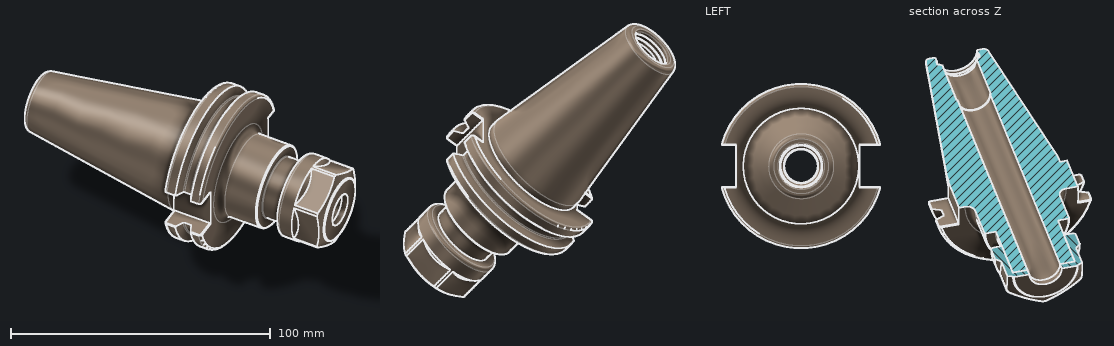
import cadquery as cq
import math

total_length = 131.8
shank_bore_radius = 12.8 / 2
collar_radius = 34.0 / 2

taper_ratio = 7 / 24
taper_end_radius = 25.0 / 2
taper_end_round = 2.0
gauge_x = 68.4

flange_radius = 63.4 / 2
flange_start_x = 71.3
flange_end_x = 87.2
flange_edge_round = 1.0
groove_mid_x = 79.5
groove_floor_radius = 28.0
groove_floor_width = 3.3
groove_mouth_width = 6.7
groove_floor_round = 0.5
keyway_width = 16.1
keyway_edge_break = 0.33
selection_margin = 0.1
front_keyway_floor = 22.5
rear_keyway_floor = 25.0

collar_end_x = 104.3
collar_fillet = 3.2
collar_chamfer = 0.4
nose_root_round = 0.3
nose_radius = 25.0 / 2

socket_mouth_round = 0.8
pilot_radius = 16.3 / 2
pilot_end_x = 2.4
relief_radius = 16.9 / 2
relief_end_x = 4.2
seat_radius = 15.7 / 2
long_bore_radius = 13.5 / 2
long_bore_end_x = 26.4

nut_start_x = 112.8
nut_round = 1.3
hex_start_x = 119.6
hex_sides = 6
hex_across_flats = 30.0
hex_shoulder_bevel = 2.0
nut_bevel_length = 2.1
nut_bevel_end_radius = 26.0 / 2
nut_face_chamfer = 0.4
nut_lip = 2.6

nose_end_x = total_length - nut_lip


def revolve_about_x(outline):
    """Turn a closed (x, radius) outline into a solid around the X axis."""
    return outline.close().revolve(360, (0, 0, 0), (1, 0, 0))


def x_cylinder(radius, start_x, end_x):
    return cq.Workplane("YZ").workplane(offset=start_x).circle(radius).extrude(end_x - start_x)


def make_shank():
    round_end_x = taper_end_round * (1 - math.sin(math.atan(taper_ratio / 2)))
    gauge_radius = taper_end_radius + (gauge_x - round_end_x) * taper_ratio / 2
    outline = (
        cq.Workplane("XY")
        .moveTo(0, 0)
        .lineTo(0, taper_end_radius - taper_end_round)
        .radiusArc((round_end_x, taper_end_radius), taper_end_round)
        .lineTo(gauge_x, gauge_radius)
        .lineTo(flange_start_x, gauge_radius)
        .lineTo(flange_start_x, 0)
    )
    return revolve_about_x(outline)


def make_groove():
    """Ring-shaped V groove around the flange, with rounded floor corners."""
    outline = (
        cq.Workplane("XY")
        .moveTo(groove_mid_x - groove_mouth_width / 2, flange_radius)
        .lineTo(groove_mid_x - groove_floor_width / 2, groove_floor_radius)
        .lineTo(groove_mid_x + groove_floor_width / 2, groove_floor_radius)
        .lineTo(groove_mid_x + groove_mouth_width / 2, flange_radius)
    )
    return revolve_about_x(outline).edges(cq.selectors.RadiusNthSelector(0)).fillet(groove_floor_round)


def cut_keyway(flange, floor_y, side):
    """Slot through the flange, open on the +Y (side = 1) or -Y (side = -1) side, with broken edges."""
    depth = flange_radius - floor_y
    length = flange_end_x - flange_start_x
    mid_x = (flange_start_x + flange_end_x) / 2
    mid_y = side * (floor_y + depth / 2)
    slot = cq.Workplane("XY").box(length, depth, keyway_width).translate((mid_x, mid_y, 0))
    wall_edges = cq.selectors.BoxSelector(
        (flange_start_x - selection_margin, side * (floor_y + selection_margin), -keyway_width),
        (flange_end_x + selection_margin, side * flange_radius, keyway_width),
    )
    return flange.cut(slot).edges(wall_edges).chamfer(keyway_edge_break)


def make_flange():
    flange = (
        x_cylinder(flange_radius, flange_start_x, flange_end_x)
        .edges()
        .fillet(flange_edge_round)
    )
    flange = cut_keyway(flange, front_keyway_floor, -1)
    flange = cut_keyway(flange, rear_keyway_floor, 1)
    return flange.cut(make_groove())


def make_collar_and_nose():
    outline = (
        cq.Workplane("XY")
        .moveTo(flange_end_x, 0)
        .lineTo(flange_end_x, collar_radius + collar_fillet)
        .radiusArc((flange_end_x + collar_fillet, collar_radius), -collar_fillet)
        .lineTo(collar_end_x - collar_chamfer, collar_radius)
        .lineTo(collar_end_x, collar_radius - collar_chamfer)
        .lineTo(collar_end_x, nose_radius + nose_root_round)
        .radiusArc((collar_end_x + nose_root_round, nose_radius), -nose_root_round)
        .lineTo(nose_end_x, nose_radius)
        .lineTo(nose_end_x, 0)
    )
    return revolve_about_x(outline)


def make_holder_bore():
    outline = (
        cq.Workplane("XY")
        .moveTo(0, 0)
        .lineTo(0, pilot_radius + socket_mouth_round)
        .radiusArc((socket_mouth_round, pilot_radius), -socket_mouth_round)
        .lineTo(pilot_end_x, pilot_radius)
        .lineTo(pilot_end_x, relief_radius)
        .lineTo(relief_end_x, relief_radius)
        .lineTo(relief_end_x, seat_radius)
        .lineTo(relief_end_x + seat_radius - long_bore_radius, long_bore_radius)
        .lineTo(long_bore_end_x, long_bore_radius)
        .lineTo(long_bore_end_x, shank_bore_radius)
        .lineTo(nose_end_x, shank_bore_radius)
        .lineTo(nose_end_x, 0)
    )
    return revolve_about_x(outline)


def make_holder():
    holder = make_shank().union(make_flange()).union(make_collar_and_nose())
    return holder.cut(make_holder_bore())


def make_nut_ring():
    """Round rear part of the nut, with a bevelled shoulder running out into the hexagon."""
    shoulder_end_x = hex_start_x + hex_shoulder_bevel
    outline = (
        cq.Workplane("XY")
        .moveTo(nut_start_x, 0)
        .lineTo(nut_start_x, collar_radius - nut_round)
        .radiusArc((nut_start_x + nut_round, collar_radius), nut_round)
        .lineTo(hex_start_x, collar_radius)
        .lineTo(shoulder_end_x, collar_radius - hex_shoulder_bevel)
        .lineTo(shoulder_end_x, 0)
    )
    return revolve_about_x(outline)


def make_nut_hexagon():
    """Hexagon with two flats facing +Y and -Y, its corners turned down and its end bevelled."""
    half_side_angle = 180 / hex_sides
    corner_diameter = hex_across_flats / math.cos(math.radians(half_side_angle))
    hexagon = (
        cq.Workplane("YZ")
        .workplane(offset=hex_start_x)
        .polygon(hex_sides, corner_diameter)
        .extrude(total_length - hex_start_x)
        .rotate((0, 0, 0), (1, 0, 0), half_side_angle)
    )
    envelope = (
        cq.Workplane("XY")
        .moveTo(hex_start_x, 0)
        .lineTo(hex_start_x, collar_radius)
        .lineTo(total_length - nut_bevel_length, collar_radius)
        .lineTo(total_length - nut_face_chamfer, nut_bevel_end_radius)
        .lineTo(total_length, nut_bevel_end_radius - nut_face_chamfer)
        .lineTo(total_length, 0)
    )
    return hexagon.intersect(revolve_about_x(envelope))


def make_nut():
    nut = make_nut_ring().union(make_nut_hexagon())
    nut = nut.cut(x_cylinder(nose_radius, nut_start_x, nose_end_x))
    return nut.cut(x_cylinder(shank_bore_radius, nose_end_x, total_length))


holder = make_holder()
nut = make_nut()

result = cq.Compound.makeCompound([holder.val(), nut.val()])